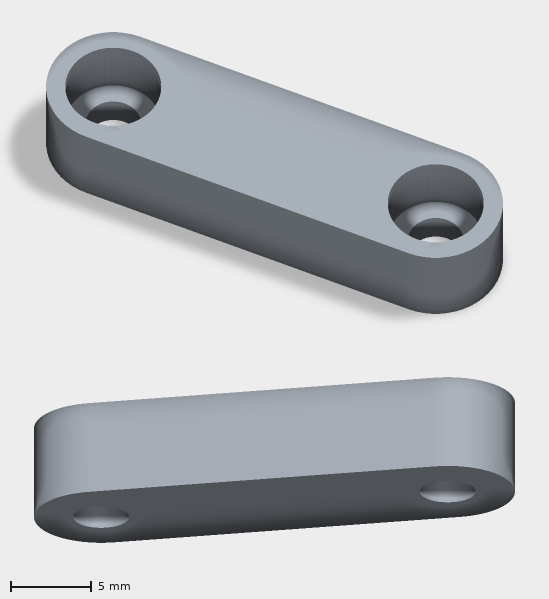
import cadquery as cq

length = 30.4
width = 8.4
height = 6.0
bore_diameter = 3.5
counterbore_diameter = 6.0
counterbore_depth = 4.0

hole_spacing = length - width

body = cq.Workplane("XY").slot2D(length, width).extrude(height)

result = (
    body.faces(">Z")
    .workplane()
    .rarray(hole_spacing, 0.3, 2, 1)
    .cboreHole(bore_diameter, counterbore_diameter, counterbore_depth)
)